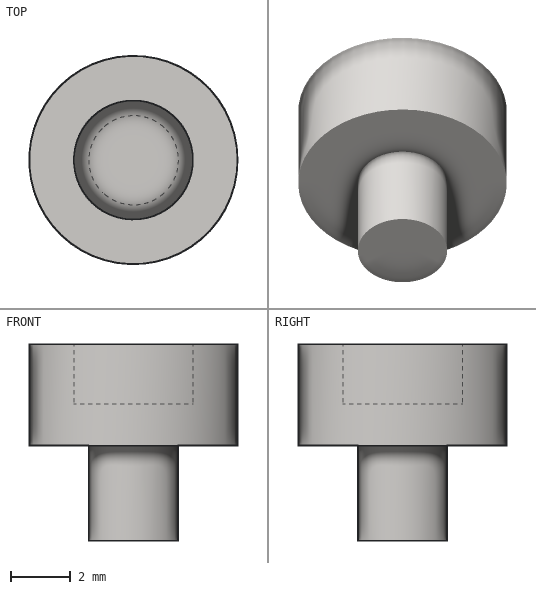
import cadquery as cq

head_diameter = 7.0
head_height = 3.4
stem_diameter = 3.0
stem_length = 3.2
bore_diameter = 4.0
bore_depth = 2.0

total_height = stem_length + head_height

stem = cq.Workplane("XY").circle(stem_diameter / 2).extrude(stem_length)

head = (
    cq.Workplane("XY", origin=(0, 0, stem_length))
    .circle(head_diameter / 2)
    .extrude(head_height)
)

bore = (
    cq.Workplane("XY", origin=(0, 0, total_height))
    .circle(bore_diameter / 2)
    .extrude(-bore_depth)
)

result = stem.union(head).cut(bore)